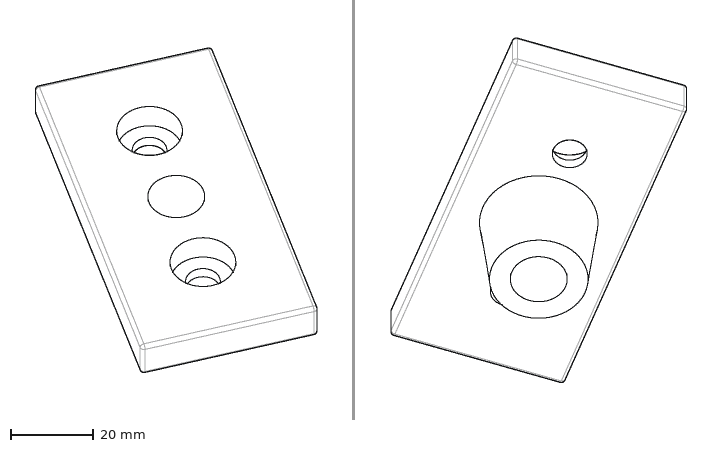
import cadquery as cq

plate_length = 90.0
plate_width = plate_length / 2
plate_thickness = 10.0
edge_radius = 1.0

boss_height = 22.5
boss_root_diameter = 28.9
boss_tip_diameter = 24.0
boss_bore_diameter = 13.9

screw_spacing = plate_length / 2
screw_hole_diameter = 8.5
counterbore_diameter = 16.0
counterbore_depth = 7.0


def make_plate():
    """Plate with every edge rounded, its underside at Z = 0."""
    plate = cq.Workplane("XY").box(
        plate_length, plate_width, plate_thickness, centered=(True, True, False)
    )
    return plate.edges().fillet(edge_radius)


def make_boss():
    """Cone frustum that narrows downward from the underside of the plate."""
    frustum = cq.Solid.makeCone(
        boss_root_diameter / 2,
        boss_tip_diameter / 2,
        boss_height,
        pnt=cq.Vector(0, 0, 0),
        dir=cq.Vector(0, 0, -1),
    )
    return cq.Workplane(obj=frustum)


body = make_plate().union(make_boss())

top = cq.Workplane("XY", origin=(0, 0, plate_thickness))
bore_depth = plate_thickness + boss_height
body = body.cut(top.circle(boss_bore_diameter / 2).extrude(-bore_depth))

screw_centers = [(-screw_spacing / 2, 0), (screw_spacing / 2, 0)]
through_holes = top.pushPoints(screw_centers).circle(screw_hole_diameter / 2).extrude(-plate_thickness)
counterbores = top.pushPoints(screw_centers).circle(counterbore_diameter / 2).extrude(-counterbore_depth)

result = body.cut(through_holes).cut(counterbores)